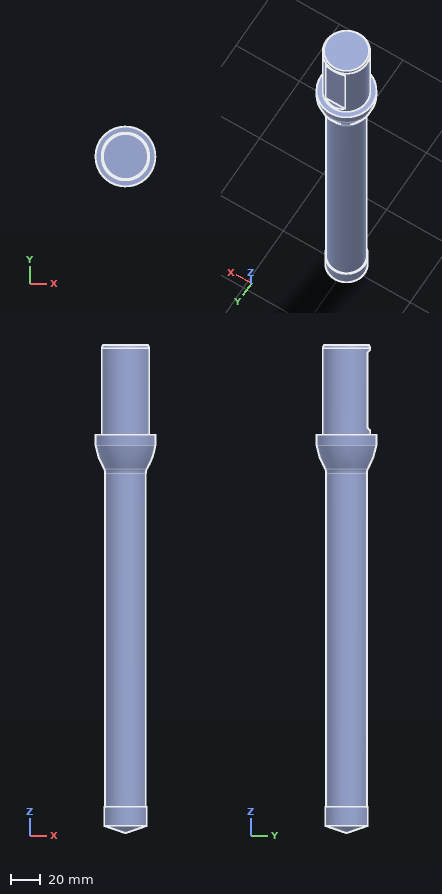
import cadquery as cq

total_height = 326.0
point_height = 5.0
crown_top = 17.5
neck_bottom = 240.3
neck_top = 243.2
collar_bottom = 259.0
collar_top = 266.0

crown_radius = 28.7 / 2
body_radius = 27.5 / 2
neck_radius = 14.5
collar_radius = 40.0 / 2
shank_radius = 32.0 / 2

flare_mid_height = 253.5
flare_mid_radius = 19.0

shank_chamfer_width = 1.0
shank_chamfer_height = 2.3
flat_distance = 14.0
flat_bottom = 270.5
flat_top = 320.8
flat_depth = shank_radius - flat_distance


def make_crown():
    """Replaceable drill crown: a short cylinder with a shallow conical point."""
    profile = (
        cq.Workplane("XZ")
        .moveTo(0, 0)
        .lineTo(crown_radius, point_height)
        .lineTo(crown_radius, crown_top)
        .lineTo(0, crown_top)
        .close()
    )
    return profile.revolve(360, (0, 0, 0), (0, 1, 0))


def make_turned_holder():
    """Drill body, flared collar and chamfered shank as one revolved shape."""
    profile = (
        cq.Workplane("XZ")
        .moveTo(0, crown_top)
        .lineTo(body_radius, crown_top)
        .lineTo(body_radius, neck_bottom)
        .tangentArcPoint((neck_radius, neck_top), relative=False)
        .threePointArc((flare_mid_radius, flare_mid_height), (collar_radius, collar_bottom))
        .lineTo(collar_radius, collar_top)
        .lineTo(shank_radius, collar_top)
        .lineTo(shank_radius, total_height - shank_chamfer_height)
        .lineTo(shank_radius - shank_chamfer_width, total_height)
        .lineTo(0, total_height)
        .close()
    )
    return profile.revolve(360, (0, 0, 0), (0, 1, 0))


def make_flat_cutter():
    """Clamping flat on the +Y side of the shank, with 45 degree run-outs."""
    profile = (
        cq.Workplane("YZ")
        .moveTo(flat_distance, flat_bottom)
        .lineTo(shank_radius, flat_bottom - flat_depth)
        .lineTo(shank_radius, flat_top + flat_depth)
        .lineTo(flat_distance, flat_top)
        .close()
    )
    return profile.extrude(shank_radius, both=True)


crown = make_crown()
holder = make_turned_holder().cut(make_flat_cutter())

result = cq.Compound.makeCompound([crown.val(), holder.val()])